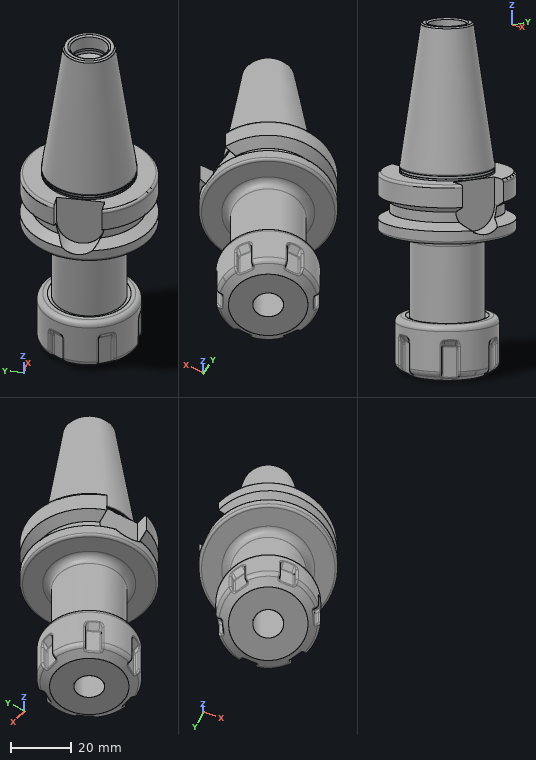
import cadquery as cq
import math


total_height = 118.4
gauge_height = 70.0
gauge_radius = 15.9
taper_per_side = 7 / 48
taper_end_radius = gauge_radius - (total_height - gauge_height) * taper_per_side
taper_end_chamfer = 0.5

relief_top = 69.5
relief_bottom = 68.5
relief_depth = 0.4

flange_diameter = 46.0
flange_radius = flange_diameter / 2
flange_top = 68.0
flange_bottom = 48.0
flange_edge_fillet = 1.0
groove_center = 56.4
groove_floor_radius = 19.2
groove_floor_half_width = 1.8
groove_angle = 30
groove_mouth_half_width = groove_floor_half_width + (
    (flange_radius - groove_floor_radius) * math.tan(math.radians(groove_angle))
)

notch_width = 16.1
notch_floor_x = 16.2
notch_bottom = 50.5

neck_radius = 12.5
neck_fillet = 2.8

nut_radius = 17.4
nut_height = 19.4
neck_foot = nut_height / 2
nut_top_fillet = 2.0
nut_mouth_radius = 13.9
nut_mouth_depth = 0.5
nut_face_radius = 13.1
nut_cone_angle = 30
nut_cone_height = (nut_radius - nut_face_radius) * math.tan(math.radians(nut_cone_angle))
nut_bottom_fillet = 2.2

slot_count = 6
slot_width = 5.5
slot_floor_radius = 15.2
slot_floor_fillet = 0.5
slot_roof_fillet = 0.8
slot_roof_angle = 48
slot_overrun = 1.2
first_slot_angle = 30
slot_edge_fillet = 0.6
slot_edge_zone = (4.7, 16.0)
long_slot_height = 12.0
short_slot_height = 10.7

bore_radius = 5.1
counterbore_radius = 6.4
counterbore_depth = 5.1
counterbore_chamfer_width = 0.7
counterbore_chamfer_depth = 0.5
undercut_depth = 0.4
undercut_radius = counterbore_radius + undercut_depth
undercut_taper_height = 1.1
undercut_wall_height = 1.1
step_cone_angle = 30

outermost = cq.selectors.RadiusNthSelector(-1)


def revolve_outline(points):
    """Solid of revolution about Z from (radius, height) points."""
    return cq.Workplane("XZ").polyline(points).close().revolve(360, (0, 0, 0), (0, 1, 0))


def make_shank_and_flange():
    relief_radius = gauge_radius - relief_depth
    chamfer_z = total_height - taper_end_chamfer
    outline = (
        cq.Workplane("XZ")
        .moveTo(0, neck_foot)
        .lineTo(neck_radius, neck_foot)
        .lineTo(neck_radius, flange_bottom - neck_fillet)
        .radiusArc((neck_radius + neck_fillet, flange_bottom), neck_fillet)
        .lineTo(flange_radius, flange_bottom)
        .lineTo(flange_radius, groove_center - groove_mouth_half_width)
        .lineTo(groove_floor_radius, groove_center - groove_floor_half_width)
        .lineTo(groove_floor_radius, groove_center + groove_floor_half_width)
        .lineTo(flange_radius, groove_center + groove_mouth_half_width)
        .lineTo(flange_radius, flange_top)
        .lineTo(gauge_radius, flange_top)
        .lineTo(gauge_radius, relief_bottom)
        .lineTo(relief_radius, relief_bottom)
        .lineTo(relief_radius, relief_top)
        .lineTo(gauge_radius, relief_top)
        .lineTo(gauge_radius, gauge_height)
        .lineTo(taper_end_radius + taper_end_chamfer * taper_per_side, chamfer_z)
        .lineTo(taper_end_radius - taper_end_chamfer, total_height)
        .lineTo(0, total_height)
        .close()
    )
    body = outline.revolve(360, (0, 0, 0), (0, 1, 0))
    flange_rims = body.edges("%CIRCLE").edges(outermost)
    return body.newObject([
        flange_rims.edges("<Z").val(),
        flange_rims.edges(">Z").val(),
    ]).fillet(flange_edge_fillet)


def make_notch(side):
    half_width = notch_width / 2
    arc_center = notch_bottom + half_width
    return (
        cq.Workplane("YZ", origin=(side * notch_floor_x, 0, 0))
        .moveTo(-half_width, gauge_height)
        .lineTo(-half_width, arc_center)
        .threePointArc((0, notch_bottom), (half_width, arc_center))
        .lineTo(half_width, gauge_height)
        .close()
        .extrude(side * flange_radius)
    )


def make_slot(angle, height):
    """Pocket with a flat floor and a roof that rises toward the outside of the nut."""
    outer_radius = nut_radius + slot_overrun
    rise = (outer_radius - slot_floor_radius) * math.tan(math.radians(slot_roof_angle))
    slot = (
        cq.Workplane("XZ")
        .polyline([
            (slot_floor_radius, -slot_overrun),
            (outer_radius, -slot_overrun),
            (outer_radius, height + rise),
            (slot_floor_radius, height),
        ])
        .close()
        .extrude(slot_width / 2, both=True)
    )
    slot = slot.faces(">Z").edges("not |Y").fillet(slot_roof_fillet)
    slot = slot.edges("|Z and <X").fillet(slot_floor_fillet)
    return slot.rotate((0, 0, 0), (0, 0, 1), angle)


def make_nut():
    nut = revolve_outline([
        (0, 0),
        (nut_face_radius, 0),
        (nut_radius, nut_cone_height),
        (nut_radius, nut_height),
        (nut_mouth_radius, nut_height),
        (neck_radius, nut_height - nut_mouth_depth),
        (0, nut_height - nut_mouth_depth),
    ])
    nut = nut.edges(">Z").edges(outermost).fillet(nut_top_fillet)
    nut = nut.edges("%CIRCLE").edges(outermost).edges("<Z").fillet(nut_bottom_fillet)
    for i in range(slot_count):
        angle = first_slot_angle + i * 360 / slot_count
        height = short_slot_height if angle < 180 else long_slot_height
        nut = nut.cut(make_slot(angle, height))
    return round_slot_edges(nut)


def round_slot_edges(nut):
    """Round where the slots open onto the outside of the nut."""
    slot_sagitta = nut_radius - math.sqrt(nut_radius**2 - (slot_width / 2) ** 2)

    def is_slot_mouth(edge):
        center = edge.Center()
        low, high = slot_edge_zone
        far_out = math.hypot(center.x, center.y) > nut_radius - slot_sagitta
        return far_out and low < center.z < high

    mouth_edges = nut.edges().filter(is_slot_mouth)
    return mouth_edges.fillet(slot_edge_fillet)


def make_bore():
    undercut_top = total_height - counterbore_depth - undercut_taper_height
    step_top = undercut_top - undercut_wall_height
    step_drop = (undercut_radius - bore_radius) * math.tan(math.radians(step_cone_angle))
    return revolve_outline([
        (0, 0),
        (bore_radius, 0),
        (bore_radius, step_top - step_drop),
        (undercut_radius, step_top),
        (undercut_radius, undercut_top),
        (counterbore_radius, total_height - counterbore_depth),
        (counterbore_radius, total_height - counterbore_chamfer_depth),
        (counterbore_radius + counterbore_chamfer_width, total_height),
        (0, total_height),
    ])


body = make_shank_and_flange()
for side in (-1, 1):
    body = body.cut(make_notch(side))
result = body.union(make_nut()).cut(make_bore())